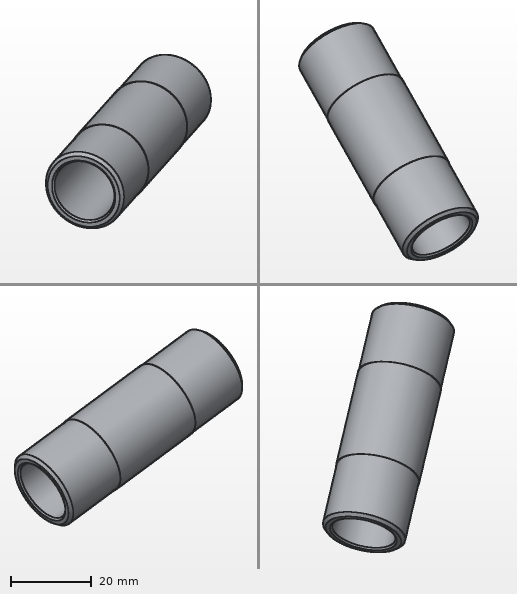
import cadquery as cq

length = 60.0
collar_diameter = 21.2
end_diameter = 20.95
bore_diameter = 16.0

end_length = 17.05
collar_length = length - 2 * end_length

outer_chamfer = 0.85
bore_chamfer = 0.5


def cylinder_along_y(diameter, cylinder_length):
    """Solid cylinder centred on the origin with its axis along Y."""
    return cq.Workplane("XZ", origin=(0, cylinder_length / 2, 0)).circle(diameter / 2).extrude(cylinder_length)


body = cylinder_along_y(end_diameter, length).faces("<Y or >Y").edges().chamfer(outer_chamfer)

body = body.union(cylinder_along_y(collar_diameter, collar_length))

body = body.cut(cylinder_along_y(bore_diameter, length))
bore_rims = cq.selectors.RadiusNthSelector(0)
result = body.faces("<Y or >Y").edges(bore_rims).chamfer(bore_chamfer)